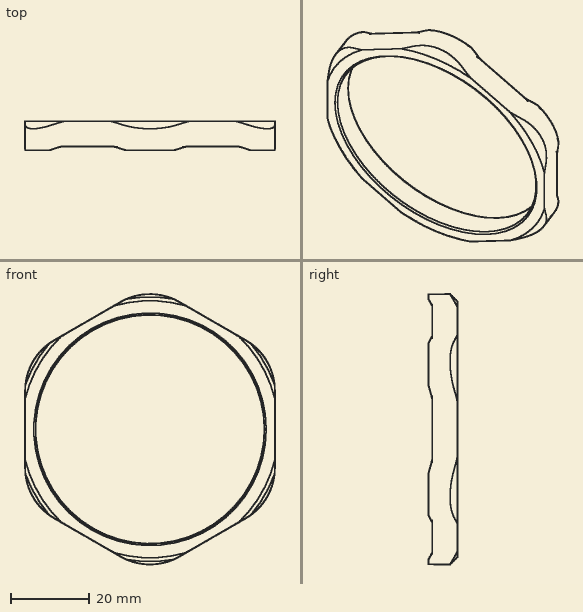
import cadquery as cq
import math

across_flats = 64.0
across_corners = 69.25
thickness = 7.5
bore_diameter = 58.5
bore_chamfer = 0.5

bevel_inner_radius = 32.7

recess_depth = 1.0
recess_floor_radius = 32.9
recess_rim_radius = 33.9

front_y = -thickness / 2
back_y = thickness / 2
recess_floor_y = front_y + recess_depth
clear_radius = across_corners

sharp_corner_radius = across_flats / 2 / math.cos(math.pi / 6)
tip_setback = sharp_corner_radius - across_corners / 2
corner_fillet = tip_setback / (1 / math.cos(math.pi / 6) - 1)


def hexagonal_blank():
    """Solid hexagonal plate with rounded corners."""
    corners = [
        (sharp_corner_radius * math.sin(i * math.pi / 3), sharp_corner_radius * math.cos(i * math.pi / 3))
        for i in range(6)
    ]
    plate = cq.Workplane("XZ", origin=(0, back_y, 0)).polyline(corners).close().extrude(thickness)
    return plate.edges("|Y").fillet(corner_fillet)


def revolved_about_y(profile):
    """Revolve a closed (radius, y) profile around the ring axis."""
    return cq.Workplane("XY").polyline(profile).close().revolve(360, (0, 0, 0), (0, 1, 0))


def back_bevel():
    """Material outside the 45 degree cone at the back."""
    drop = clear_radius - bevel_inner_radius
    return revolved_about_y([
        (bevel_inner_radius, back_y),
        (clear_radius, back_y),
        (clear_radius, back_y - drop),
    ])


def front_recess():
    """Dished recess with a flat floor and a conical wall."""
    return revolved_about_y([
        (0, front_y),
        (recess_rim_radius, front_y),
        (recess_floor_radius, recess_floor_y),
        (0, recess_floor_y),
    ])


def chamfered_bore():
    """Through bore with equal chamfers at the recess floor and the back face."""
    bore_radius = bore_diameter / 2
    chamfer_radius = bore_radius + bore_chamfer
    return revolved_about_y([
        (0, front_y),
        (chamfer_radius, front_y),
        (chamfer_radius, recess_floor_y),
        (bore_radius, recess_floor_y + bore_chamfer),
        (bore_radius, back_y - bore_chamfer),
        (chamfer_radius, back_y),
        (0, back_y),
    ])


result = hexagonal_blank().cut(back_bevel()).cut(front_recess()).cut(chamfered_bore())